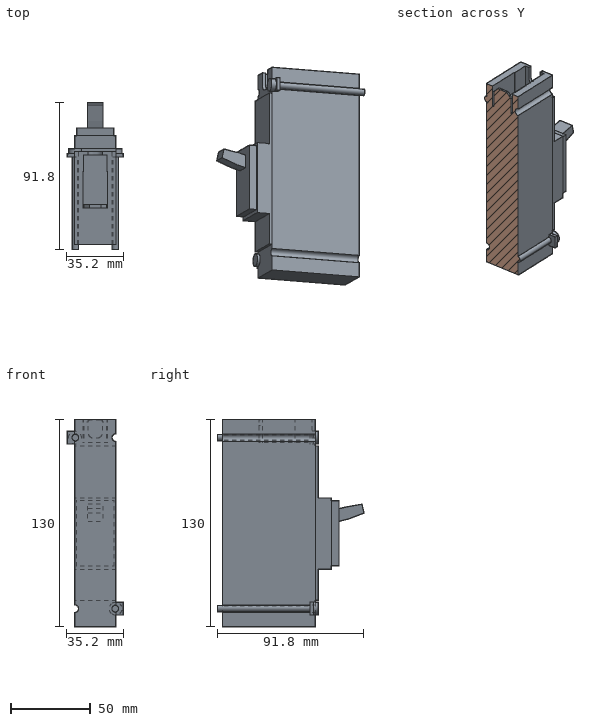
import cadquery as cq


width = 25.7
depth = 58.2
height = 130.0

screw_inset_z = 11.5
shank_radius = 2.1
shank_inset_x = 0.4
shank_tip_length = 3.1
shank_tip_y = -depth - shank_tip_length
groove_radius = 2.3
head_radius = 4.0
head_inset_x = 0.1
head_back_y = -1.3
ear_span = 35.2
ear_overhang = (ear_span - width) / 2
ear_thickness = 2.2

pocket_depth = 14.5
pocket_wall = 2.1
pocket_step_y = -12.6
pocket_back_y = -35.2
pocket_front_width = 14.8
pocket_rear_width = 15.6

slot_width = 9.0
slot_depth = 11.8
slot_corner_radius = 3.5

pad_width = 14.2
pad_length = 2.2
pad_top_gap = 0.3
pad_chamfer = 3.5

plate_thickness = 1.8
plate_end_gap = 16.6
boss_front_y = 10.0
boss_bottom_z = 36.0
boss_top_z = 80.9
rim_width = 23.4
rim_front_y = 14.8
rim_bottom_z = 38.2
rim_top_z = 79.2
lever_width = 9.9
lever_profile = [
    (rim_front_y, 66.0),
    (20.5, 67.5),
    (30.5, 71.2),
    (29.2, 77.0),
    (19.1, 75.1),
    (rim_front_y, 74.1),
]


def block(x_size, y_back, y_front, z_bottom, z_top, x_centre=0.0):
    """Axis-aligned box between the given planes, centred on x_centre."""
    box = cq.Workplane("XY").box(x_size, y_front - y_back, z_top - z_bottom, centered=(True, False, False))
    return box.translate((x_centre, y_back, z_bottom))


def rod(radius, x, z, y_back, y_front):
    """Cylinder along Y."""
    return cq.Workplane("XZ", origin=(x, y_front, z)).circle(radius).extrude(y_front - y_back)


def terminal_pocket():
    """Stepped pocket and its round-cornered access slot, as the material to remove."""
    floor_z = height - pocket_depth
    front = block(pocket_front_width, pocket_step_y, -pocket_wall, floor_z, height)
    rear = block(pocket_rear_width, pocket_back_y, pocket_step_y, floor_z, height)
    slot = block(slot_width, -pocket_wall, 0, height - slot_depth, height)
    slot = slot.edges("|Y and <Z").fillet(slot_corner_radius)
    return front.union(rear).union(slot)


def terminal_pad():
    """Pad standing forward from the back wall of the pocket, with its upper corners cut off."""
    floor_z = height - pocket_depth
    pad_front_y = pocket_back_y + pad_length
    pad = block(pad_width, pocket_back_y, pad_front_y, floor_z, height - pad_top_gap)
    return pad.edges("|Y and >Z").chamfer(pad_chamfer)


def mounting_screw(side, z):
    """Shank, head and square ear on one side of the housing (side is -1 or +1)."""
    face_x = side * width / 2
    ear_back_y = head_back_y - ear_thickness
    shank = rod(shank_radius, face_x - side * shank_inset_x, z, shank_tip_y, head_back_y)
    head = rod(head_radius, face_x - side * head_inset_x, z, head_back_y, plate_thickness)
    ear_width = ear_overhang + head_radius
    ear_x = face_x + side * (ear_overhang - ear_width / 2)
    ear = block(ear_width, ear_back_y, head_back_y, z - head_radius, z + head_radius, ear_x)
    return shank.union(head).union(ear)


def make_housing():
    """Housing block with its grooves, terminal pocket and the screws fixed to it."""
    body = block(width, -depth, 0, 0, height)
    low_z = screw_inset_z
    high_z = height - screw_inset_z
    for side in (-1, 1):
        for z in (low_z, high_z):
            body = body.cut(rod(groove_radius, side * width / 2, z, -depth, 0))
    body = body.cut(terminal_pocket()).union(terminal_pad())
    for side, z in ((-1, high_z), (1, low_z)):
        body = body.union(mounting_screw(side, z))
    return body


def make_cover():
    """Front cover with its boss, rim and toggle lever."""
    plate = block(width, 0, plate_thickness, plate_end_gap, height - plate_end_gap)
    boss = block(width, 0, boss_front_y, boss_bottom_z, boss_top_z)
    rim = block(rim_width, boss_front_y, rim_front_y, rim_bottom_z, rim_top_z)
    lever = cq.Workplane("YZ").polyline(lever_profile).close().extrude(lever_width / 2, both=True)
    return plate.union(boss).union(rim).union(lever)


housing = make_housing()
cover = make_cover()

result = cq.Compound.makeCompound([housing.val(), cover.val()])